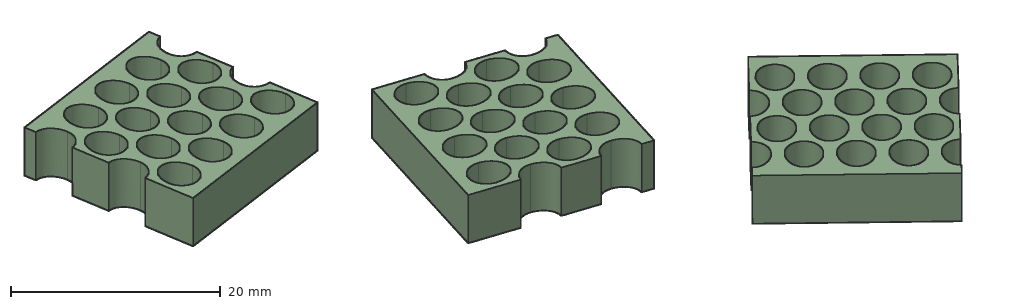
import cadquery as cq

side = 20.0
thickness = 5.6

blunt_radius = 1.98
long_radius = 2.35
half_width = 1.85
egg_length = blunt_radius + long_radius

columns = 4
whole_rows = 4
row_pitch = side / whole_rows
edge_margin = (side - columns * egg_length) / 2


def egg_cutter(x, y):
    """Upright egg-shaped prism whose widest section is at (x, y)."""
    center = cq.Vector(x, y, 0)
    up = cq.Vector(0, 0, 1)
    toward_x = cq.Vector(1, 0, 0)
    blunt_half = cq.Edge.makeEllipse(
        blunt_radius, half_width, center, up, toward_x, angle1=-90, angle2=90
    )
    long_half = cq.Edge.makeEllipse(
        long_radius, half_width, center, up, toward_x, angle1=90, angle2=270
    )
    outline = cq.Wire.assembleEdges([blunt_half, long_half])
    return cq.Solid.extrudeLinear(outline, [], cq.Vector(0, 0, thickness))


result = cq.Workplane("XY").box(side, side, thickness, centered=(True, True, False))

for column in range(columns):
    x = -side / 2 + edge_margin + column * egg_length + long_radius
    row_count = whole_rows + 1 if column % 2 == 0 else whole_rows
    for row in range(row_count):
        y = (row - (row_count - 1) / 2) * row_pitch
        result = result.cut(cq.Workplane(obj=egg_cutter(x, y)))